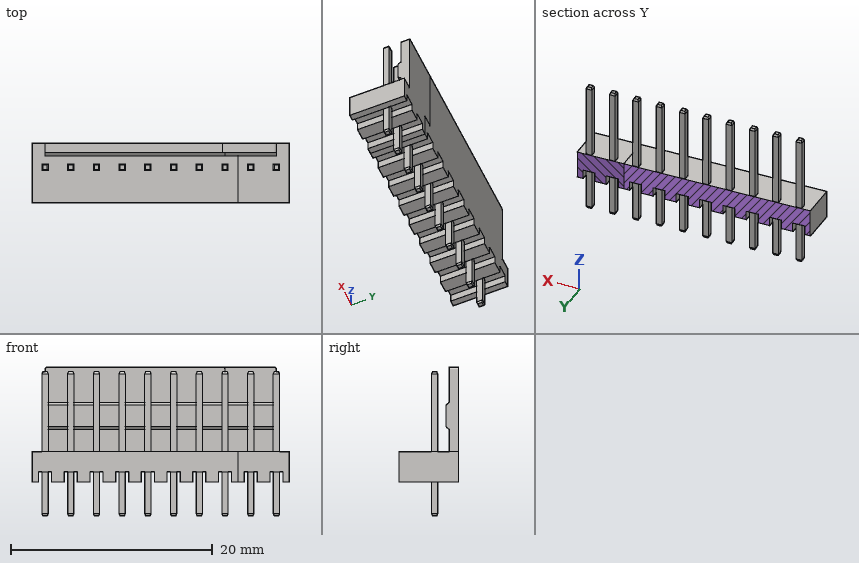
import cadquery as cq


pitch = 2.55
row_positions = 10
inner_positions = 6

base_depth = 5.9
base_height = 3.0
pins_to_back = 2.35
notch_width = 1.27
notch_height = 1.0

wall_top = 11.35
wall_thickness = 0.95
wall_corner_radius = 0.25

ridge_bottom = 5.18
ridge_top = 7.87
ridge_height = 0.3
ridge_slope = 0.28

pin_width = 0.64
pin_bottom = -3.35
pin_top = 10.9
tip_length = 0.23
tip_width = 0.43

back_y = pins_to_back
front_y = back_y - base_depth
wall_front_y = back_y - wall_thickness
ridge_front_y = wall_front_y - ridge_height


def pin_places(positions):
    """X of every pin in a row centred on X = 0."""
    return [(i - (positions - 1) / 2) * pitch for i in range(positions)]


def block(x_size, y_min, y_max, z_min, z_max):
    """Box centred on X = 0 between the given Y and Z limits."""
    return (
        cq.Workplane("XY")
        .box(x_size, y_max - y_min, z_max - z_min, centered=(True, False, False))
        .translate((0, y_min, z_min))
    )


def make_base(positions):
    """Base bar with a through notch under every pin."""
    base = block(positions * pitch, front_y, back_y, 0, base_height)
    notch = block(notch_width, front_y, back_y, 0, notch_height)
    for x in pin_places(positions):
        base = base.cut(notch.translate((x, 0, 0)))
    return base


def make_wall(positions):
    """Locking wall from the first pin to the last, with rounded top corners and a ridge."""
    length = (positions - 1) * pitch
    wall = block(length, wall_front_y, back_y, base_height, wall_top)
    wall = wall.edges("|Y and >Z").fillet(wall_corner_radius)
    ridge = (
        cq.Workplane("YZ")
        .polyline([
            (wall_front_y, ridge_bottom),
            (ridge_front_y, ridge_bottom + ridge_slope),
            (ridge_front_y, ridge_top - ridge_slope),
            (wall_front_y, ridge_top),
        ])
        .close()
        .extrude(length / 2, both=True)
    )
    return wall.union(ridge)


def make_tip(z_root, z_end):
    """Tapered pin tip from its full-width root to its narrow end."""
    return (
        cq.Workplane("XY", origin=(0, 0, z_root))
        .rect(pin_width, pin_width)
        .workplane(offset=z_end - z_root)
        .rect(tip_width, tip_width)
        .loft(ruled=True)
    )


def make_pin():
    """Square pin with a tapered tip at both ends."""
    lower_root = pin_bottom + tip_length
    upper_root = pin_top - tip_length
    shank = block(pin_width, -pin_width / 2, pin_width / 2, lower_root, upper_root)
    return shank.union(make_tip(upper_root, pin_top)).union(make_tip(lower_root, pin_bottom))


def make_header(positions):
    """Complete header: base, locking wall and pins in one piece."""
    header = make_base(positions).union(make_wall(positions))
    pin = make_pin()
    for x in pin_places(positions):
        header = header.union(pin.translate((x, 0, 0)))
    return header


inner_header = make_header(inner_positions)
ends = make_header(row_positions).cut(inner_header)

long_section = inner_header.union(ends.solids("<X"), clean=False).solids()

end_section = ends.solids(">X")

result = cq.Compound.makeCompound([long_section.val(), end_section.val()])